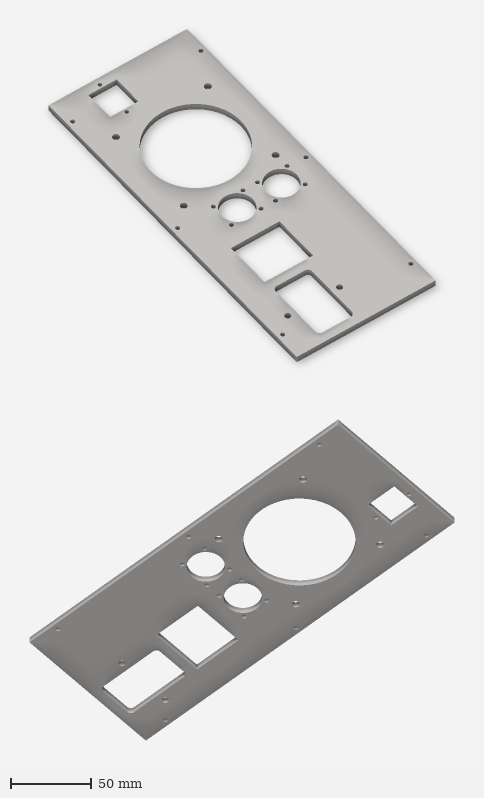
import cadquery as cq

LENGTH = 260.0
WIDTH = 107.0
THICKNESS = 5.0

EDGE_HOLE_DIAMETER = 3.0
EDGE_HOLE_PITCH = 110.0
EDGE_ROW_SPACING = 99.0
EDGE_ROW_CENTER = (-0.3, 0.0)

LARGE_CENTER = (-48.4, 0.0)
LARGE_DIAMETER = 70.0
LARGE_SCREW_DIAMETER = 5.0
LARGE_SCREW_SPACING = 71.0

SMALL_X = 8.0
SMALL_UPPER_Y = 24.5
SMALL_PITCH = 34.0
SMALL_DIAMETER = 24.0
SMALL_SCREW_DIAMETER = 3.0
SMALL_SCREW_SPACING_X = 19.0
SMALL_SCREW_SPACING_Y = 23.0

LEFT_CENTER = (-110.8, -17.7)
LEFT_LENGTH = 22.5
LEFT_WIDTH = 21.8
LEFT_SCREW_DIAMETER = 2.9
LEFT_SCREW_SPACING = 28.0

PLAIN_CENTER = (50.5, -14.0)
PLAIN_LENGTH = 35.0
PLAIN_WIDTH = 37.5

ROUNDED_CENTER = (99.0, -17.7)
ROUNDED_LENGTH = 47.8
ROUNDED_WIDTH = 28.0
ROUNDED_CORNER_RADIUS = 3.0
ROUNDED_SCREW_DIAMETER = 4.5
ROUNDED_SCREW_SPACING = 40.0


def round_cutter(center, diameter):
    """Cylinder through the full panel thickness."""
    return cq.Workplane("XY").center(*center).circle(diameter / 2).extrude(THICKNESS)


def rectangle_cutter(center, length, width):
    """Rectangular block through the full panel thickness."""
    return cq.Workplane("XY").center(*center).rect(length, width).extrude(THICKNESS)


def screw_cutters(center, spacing_x, spacing_y, count_x, count_y, diameter):
    """Grid of screw holes centred on an opening."""
    return (
        cq.Workplane("XY")
        .center(*center)
        .rarray(spacing_x, spacing_y, count_x, count_y)
        .circle(diameter / 2)
        .extrude(THICKNESS)
    )


panel = cq.Workplane("XY").box(LENGTH, WIDTH, THICKNESS, centered=(True, True, False))

panel = panel.cut(
    screw_cutters(EDGE_ROW_CENTER, EDGE_HOLE_PITCH, EDGE_ROW_SPACING, 3, 2, EDGE_HOLE_DIAMETER)
)

panel = panel.cut(round_cutter(LARGE_CENTER, LARGE_DIAMETER))
panel = panel.cut(
    screw_cutters(LARGE_CENTER, LARGE_SCREW_SPACING, LARGE_SCREW_SPACING, 2, 2, LARGE_SCREW_DIAMETER)
)

for small_y in (SMALL_UPPER_Y, SMALL_UPPER_Y - SMALL_PITCH):
    small_center = (SMALL_X, small_y)
    panel = panel.cut(round_cutter(small_center, SMALL_DIAMETER))
    panel = panel.cut(
        screw_cutters(
            small_center, SMALL_SCREW_SPACING_X, SMALL_SCREW_SPACING_Y, 2, 2, SMALL_SCREW_DIAMETER
        )
    )

panel = panel.cut(rectangle_cutter(LEFT_CENTER, LEFT_LENGTH, LEFT_WIDTH))
panel = panel.cut(
    screw_cutters(LEFT_CENTER, LEFT_SCREW_SPACING, LEFT_WIDTH, 2, 1, LEFT_SCREW_DIAMETER)
)

panel = panel.cut(rectangle_cutter(PLAIN_CENTER, PLAIN_LENGTH, PLAIN_WIDTH))

rounded_cutter = rectangle_cutter(ROUNDED_CENTER, ROUNDED_LENGTH, ROUNDED_WIDTH)
panel = panel.cut(rounded_cutter.edges("|Z").fillet(ROUNDED_CORNER_RADIUS))
panel = panel.cut(
    screw_cutters(ROUNDED_CENTER, ROUNDED_LENGTH, ROUNDED_SCREW_SPACING, 1, 2, ROUNDED_SCREW_DIAMETER)
)

result = panel.translate((0, 0, -THICKNESS / 2))